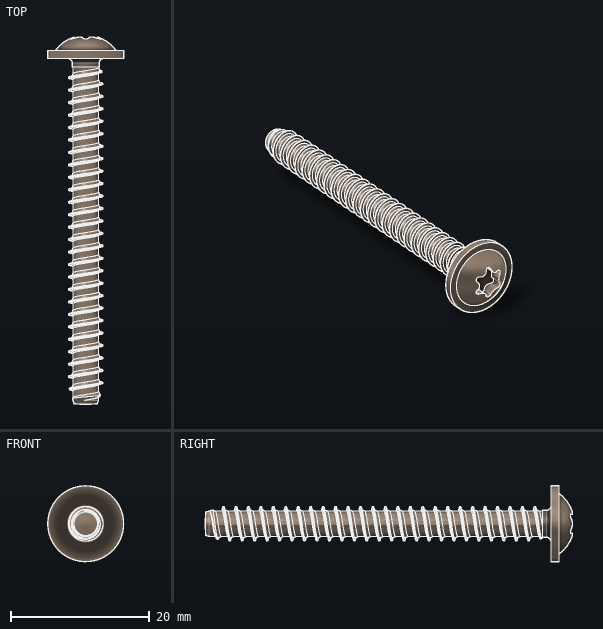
import cadquery as cq
import math


total_length = 53.15
head_height = 3.15
flange_diameter = 11.0
flange_radius = flange_diameter / 2
flange_thickness = 1.15
dome_base_radius = 4.4
dome_height = 2.25

recess_tip_radius = 2.4
recess_valley_radius = 1.7
lobe_radius = 0.4
lobe_count = 6
recess_depth = 1.85

collar_radius = 1.95
collar_end = -1.2
neck_fillet = 0.65
core_radius = 1.85
tip_radius = 1.7
point_height = 0.1
tip = head_height - total_length

full_thread_length = 43.2
full_thread_turns = 24
pitch = full_thread_length / full_thread_turns
crest_radius = 2.5
crest_width = 0.1
shoulder_radius = 2.05
shoulder_width = 0.2
head_side_root = 0.8
tip_side_root = 0.3
root_radius = 1.75
first_crest = -1.85
thread_turns = 28

fade_clearance = 0.1
fade_radius = crest_radius + fade_clearance
head_fade_radius = 2.1
head_fade_end = -2.65
tip_fade_start = -47.05


def axial(body):
    """Turn a body built along +Z so that it points along +Y."""
    return body.rotate((0, 0, 0), (1, 0, 0), -90)


def make_head():
    """Domed flange head, filleted neck and collar as one turned body."""
    dome_radius = (dome_base_radius**2 + dome_height**2) / (2 * dome_height)
    dome_top = flange_thickness + dome_height
    half_angle = math.asin(dome_base_radius / dome_radius) / 2
    dome_middle = (
        dome_radius * math.sin(half_angle),
        dome_top - dome_radius * (1 - math.cos(half_angle)),
    )
    profile = (
        cq.Workplane("XY")
        .moveTo(0, collar_end)
        .lineTo(collar_radius, collar_end)
        .lineTo(collar_radius, -neck_fillet)
        .radiusArc((collar_radius + neck_fillet, 0), neck_fillet)
        .lineTo(flange_radius, 0)
        .lineTo(flange_radius, flange_thickness)
        .lineTo(dome_base_radius, flange_thickness)
        .threePointArc(dome_middle, (0, dome_top))
        .close()
    )
    return profile.revolve(360, (0, 0, 0), (0, 1, 0))


def polar(radius, angle):
    """Point at a radius and angle in the socket sketch."""
    return (radius * math.cos(angle), radius * math.sin(angle))


def make_recess():
    """Six-lobe socket whose lobe and valley arcs meet tangentially, with lobes on the Z axis."""
    half_step = math.pi / lobe_count
    lobe_centre = recess_tip_radius - lobe_radius
    reach = recess_valley_radius
    cosine = math.cos(half_step)
    gap_squared = lobe_centre**2 + reach**2 - 2 * lobe_centre * reach * cosine
    valley_arc = (gap_squared - lobe_radius**2) / (2 * (lobe_radius - reach + lobe_centre * cosine))
    valley_centre = reach + valley_arc
    share = lobe_radius / (lobe_radius + valley_arc)
    lobe_point = polar(lobe_centre, 0)
    valley_point = polar(valley_centre, half_step)
    touch_x = lobe_point[0] + share * (valley_point[0] - lobe_point[0])
    touch_y = lobe_point[1] + share * (valley_point[1] - lobe_point[1])
    touch_radius = math.hypot(touch_x, touch_y)
    touch_angle = math.atan2(touch_y, touch_x)

    first_lobe = math.pi / 2
    outline = cq.Workplane("XY").moveTo(*polar(touch_radius, first_lobe - touch_angle))
    for index in range(lobe_count):
        lobe = first_lobe + 2 * half_step * index
        next_lobe = lobe + 2 * half_step
        lobe_end = polar(touch_radius, lobe + touch_angle)
        valley_end = polar(touch_radius, next_lobe - touch_angle)
        outline = outline.threePointArc(polar(recess_tip_radius, lobe), lobe_end)
        outline = outline.threePointArc(polar(recess_valley_radius, lobe + half_step), valley_end)
    dome_top = flange_thickness + dome_height
    recess_floor = head_height - recess_depth
    socket = outline.close().extrude(dome_top - recess_floor)
    return axial(socket.translate((0, 0, recess_floor)))


def make_ridge():
    """Thread ridge of constant section: a steep crest on a wide ramped root."""
    profile = [
        (root_radius, head_side_root),
        (shoulder_radius, shoulder_width / 2),
        (crest_radius, crest_width / 2),
        (crest_radius, -crest_width / 2),
        (shoulder_radius, -shoulder_width / 2),
        (root_radius, -tip_side_root),
    ]
    path = cq.Workplane(obj=cq.Wire.makeHelix(pitch, pitch * thread_turns, core_radius))
    return cq.Workplane("XZ").polyline(profile).close().sweep(path, isFrenet=True)


def make_shank():
    """Core with its thread, trimmed to the faded ends and the blunt conical point."""
    ridge_start = first_crest + pitch - pitch * thread_turns
    ridge = make_ridge().translate((0, 0, ridge_start))
    core = cq.Workplane("XY").workplane(offset=tip - pitch).circle(core_radius).extrude(pitch - tip)
    envelope = (
        cq.Workplane("XZ")
        .moveTo(0, tip)
        .lineTo(tip_radius, tip + point_height)
        .lineTo(fade_radius, tip_fade_start)
        .lineTo(fade_radius, head_fade_end)
        .lineTo(head_fade_radius, collar_end)
        .lineTo(0, collar_end)
        .close()
        .revolve(360, (0, 0, 0), (0, 1, 0))
    )
    return axial(core.union(ridge).intersect(envelope))


result = make_head().cut(make_recess()).union(make_shank())